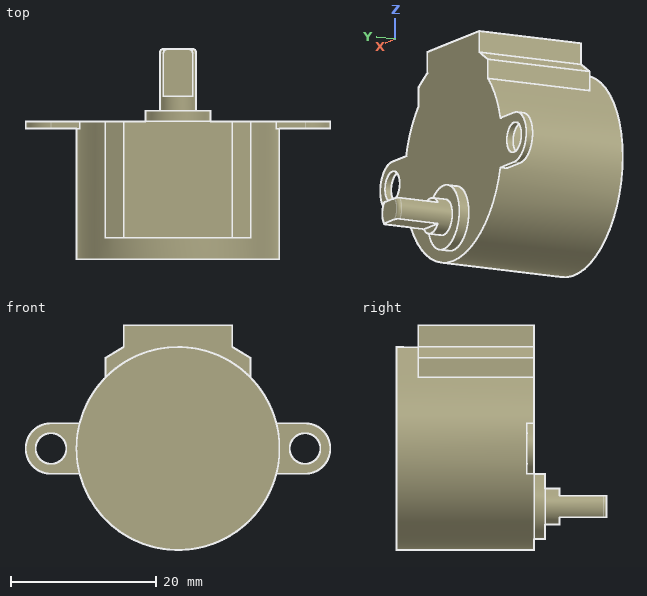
import cadquery as cq


can_diameter = 28.0
can_radius = can_diameter / 2
can_length = 19.0

ear_width = 7.0
ear_thickness = 1.0
ear_hole_spacing = 35.0
ear_hole_diameter = 4.2

cover_length = 16.0
cover_lower_width = 20.0
cover_upper_width = 15.0
cover_top_z = can_radius + 3.0
cover_slope_top_z = can_radius
cover_slope_bottom_z = cover_slope_top_z - 1.5

shaft_offset_z = -8.0
boss_diameter = 9.0
boss_height = 1.5
shaft_diameter = 5.0
shaft_reach = 10.0
shaft_flat_length = 6.5
shaft_across_flats = 3.0
shaft_tip_fillet = 0.5


def y_plane(y, z=0.0):
    """Sketch plane facing +Y, with local x along -X and local y along +Z."""
    return cq.Workplane(cq.Plane(origin=(0, y, z), xDir=(-1, 0, 0), normal=(0, 1, 0)))


def y_cylinder(diameter, start_y, end_y, z=0.0):
    """Cylinder along Y from start_y to end_y, centered at height z."""
    return y_plane(start_y, z).circle(diameter / 2).extrude(end_y - start_y)


def make_can():
    return y_cylinder(can_diameter, -can_length, 0)


def make_ears():
    plate_length = ear_hole_spacing + ear_width
    return y_plane(-ear_thickness).slot2D(plate_length, ear_width).extrude(ear_thickness)


def make_ear_holes():
    hole_centers = [(-ear_hole_spacing / 2, 0), (ear_hole_spacing / 2, 0)]
    return (
        y_plane(-ear_thickness)
        .pushPoints(hole_centers)
        .circle(ear_hole_diameter / 2)
        .extrude(ear_thickness)
    )


def make_wire_cover():
    lower_half = cover_lower_width / 2
    upper_half = cover_upper_width / 2
    return (
        y_plane(-cover_length)
        .moveTo(-lower_half, 0)
        .lineTo(-lower_half, cover_slope_bottom_z)
        .lineTo(-upper_half, cover_slope_top_z)
        .lineTo(-upper_half, cover_top_z)
        .lineTo(upper_half, cover_top_z)
        .lineTo(upper_half, cover_slope_top_z)
        .lineTo(lower_half, cover_slope_bottom_z)
        .lineTo(lower_half, 0)
        .close()
        .extrude(cover_length)
    )


def make_boss():
    return y_cylinder(boss_diameter, 0, boss_height, shaft_offset_z)


def make_housing():
    body = make_can().union(make_ears()).union(make_wire_cover()).union(make_boss())
    return body.cut(make_ear_holes())


def make_shaft():
    """Round shaft standing on the boss, rounded at the tip and flattened on both Z sides."""
    shaft = y_cylinder(shaft_diameter, boss_height, shaft_reach, shaft_offset_z)
    shaft = shaft.faces(">Y").edges().fillet(shaft_tip_fillet)

    flat_start_y = shaft_reach - shaft_flat_length
    round_zone = y_cylinder(shaft_diameter, boss_height, flat_start_y, shaft_offset_z)
    flat_zone = (
        y_plane(flat_start_y, shaft_offset_z)
        .rect(shaft_diameter, shaft_across_flats)
        .extrude(shaft_flat_length)
    )
    return shaft.intersect(round_zone.union(flat_zone))


housing = make_housing()
shaft = make_shaft()

result = cq.Compound.makeCompound([housing.val(), shaft.val()])